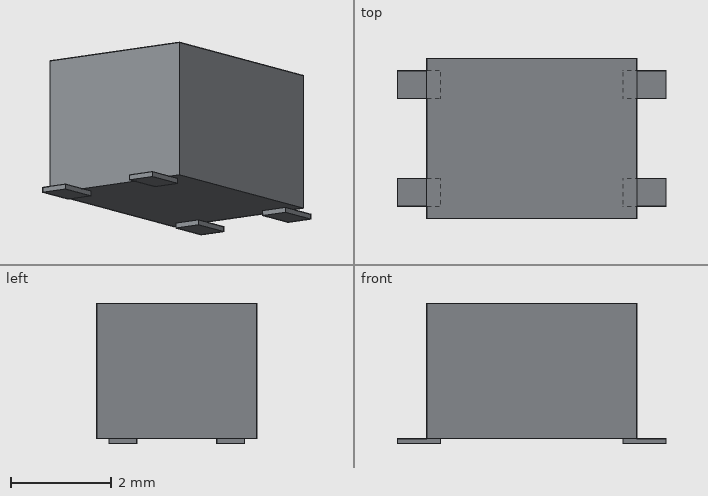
import cadquery as cq

housing_length = 4.2
housing_width = 3.2
housing_height = 2.7

lead_span = 5.36
lead_length = 0.86
lead_width = 0.56
lead_thickness = 0.1
lead_pitch = 2.15

lead_x = (lead_span - lead_length) / 2
lead_y = lead_pitch / 2


def make_housing():
    """Plain block whose underside rests on the leads."""
    block = cq.Workplane("XY").workplane(offset=lead_thickness)
    return block.box(housing_length, housing_width, housing_height, centered=(True, True, False))


def make_lead(x, y):
    """Flat strip lying at the base of the part, centred on (x, y)."""
    strip = cq.Workplane("XY").center(x, y)
    return strip.box(lead_length, lead_width, lead_thickness, centered=(True, True, False))


housing = make_housing()

leads = []
for side_x in (-1, 1):
    for side_y in (-1, 1):
        leads.append(make_lead(side_x * lead_x, side_y * lead_y))

result = cq.Compound.makeCompound([housing.val(), *[lead.val() for lead in leads]])